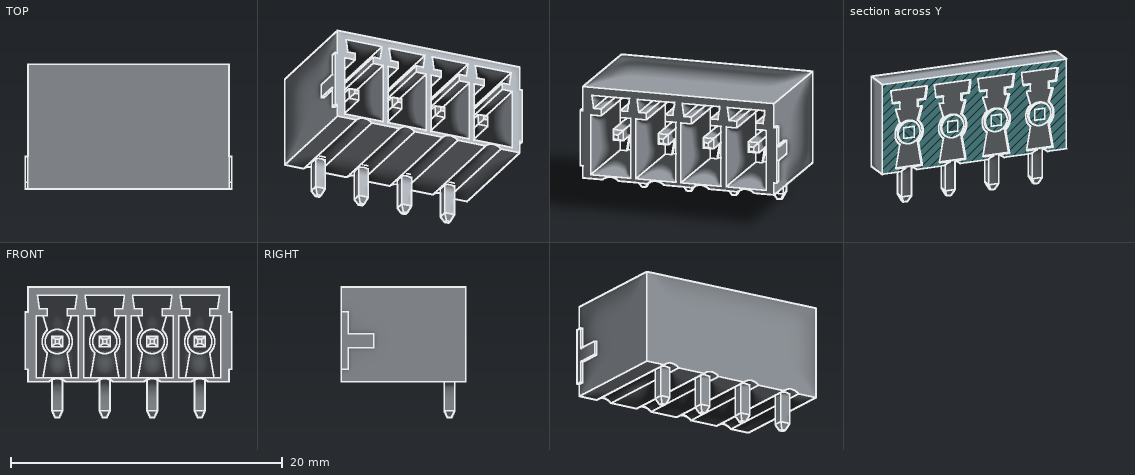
import cadquery as cq
import math

OVERALL_WIDTH = 15.2
EAR_THICKNESS = 0.2
HOUSING_WIDTH = OVERALL_WIDTH - 2 * EAR_THICKNESS
HOUSING_DEPTH = 9.2
HOUSING_HEIGHT = 6.99

EAR_MID_Z = 3.04
EAR_HEIGHT = 4.23
EAR_DEPTH = 0.52
EAR_TONGUE_HEIGHT = 1.03
EAR_TONGUE_DEPTH = 2.42

CONTACT_COUNT = 4
CONTACT_PITCH = 3.5
CONTACT_Z = 2.98
CONTACT_XS = [(i - (CONTACT_COUNT - 1) / 2) * CONTACT_PITCH for i in range(CONTACT_COUNT)]

POCKET_WIDTH = 3.1
POCKET_DEPTH = 6.99
POCKET_FLOOR_Z = 0.3
POCKET_TOP_Z = 4.88
NECK_WIDTH = 1.46
DOVETAIL_BOTTOM_Z = 5.4
DOVETAIL_TOP_Z = 6.38
DOVETAIL_BOTTOM_WIDTH = 2.63
DOVETAIL_TOP_WIDTH = 2.9

RECESS_DEPTH = 0.3
RECESS_END_WIDTH = 2.1
RECESS_ROUND_DIAMETER = 2.22
BOSS_DIAMETER = 1.8
KEYWAY_DEPTH = POCKET_DEPTH + RECESS_DEPTH

GROOVE_DIAMETER = 1.8
GROOVE_MOUTH_WIDTH = 1.25

PIN_SIZE = 0.79
PIN_TIP_SIZE = 0.32
PIN_TAPER_LENGTH = 0.5
PIN_FRONT_Y = 1.28
PIN_LEG_Y = HOUSING_DEPTH - 1.22
PIN_BOTTOM_Z = -2.61


def extrude_back(outline, start_y, depth):
    """Extrude a list of (x, z) points from start_y toward +Y."""
    return cq.Workplane("XZ", origin=(0, start_y, 0)).polyline(outline).close().extrude(-depth)


def cylinder_back(x, z, diameter, start_y, depth):
    """Cylinder along Y, from start_y toward +Y."""
    return cq.Workplane("XZ", origin=(x, start_y, z)).circle(diameter / 2).extrude(-depth)


def trapezoid(x, bottom_z, bottom_width, top_z, top_width):
    """Corner points (x, z) of a trapezoid that is symmetric about x."""
    return [
        (x - bottom_width / 2, bottom_z),
        (x + bottom_width / 2, bottom_z),
        (x + top_width / 2, top_z),
        (x - top_width / 2, top_z),
    ]


def make_ear_bar(depth, height):
    """Bar across the full width whose two ends stand proud of the housing."""
    return cq.Workplane("XY").box(OVERALL_WIDTH, depth, height, centered=(True, False, True)).translate(
        (0, 0, EAR_MID_Z)
    )


def make_pocket(x):
    """Rectangular plug opening."""
    outline = trapezoid(x, POCKET_FLOOR_Z, POCKET_WIDTH, POCKET_TOP_Z, POCKET_WIDTH)
    return extrude_back(outline, 0, POCKET_DEPTH)


def make_keyway(x):
    """Dovetail slot joined to the pocket by a narrower neck."""
    neck = extrude_back(
        trapezoid(x, POCKET_TOP_Z, NECK_WIDTH, DOVETAIL_BOTTOM_Z, NECK_WIDTH), 0, KEYWAY_DEPTH
    )
    dovetail = extrude_back(
        trapezoid(x, DOVETAIL_BOTTOM_Z, DOVETAIL_BOTTOM_WIDTH, DOVETAIL_TOP_Z, DOVETAIL_TOP_WIDTH),
        0,
        KEYWAY_DEPTH,
    )
    return neck.union(dovetail)


def make_recess(x):
    """Hourglass recess in the pocket end wall, leaving a round boss around the pin."""
    waist_rise = math.sqrt((RECESS_ROUND_DIAMETER / 2) ** 2 - (NECK_WIDTH / 2) ** 2)
    lower = trapezoid(x, POCKET_FLOOR_Z, RECESS_END_WIDTH, CONTACT_Z - waist_rise, NECK_WIDTH)
    upper = trapezoid(x, CONTACT_Z + waist_rise, NECK_WIDTH, POCKET_TOP_Z, RECESS_END_WIDTH)
    waist = trapezoid(x, CONTACT_Z - waist_rise, NECK_WIDTH, CONTACT_Z + waist_rise, NECK_WIDTH)
    recess = cylinder_back(x, CONTACT_Z, RECESS_ROUND_DIAMETER, POCKET_DEPTH, RECESS_DEPTH)
    for outline in (lower, waist, upper):
        recess = recess.union(extrude_back(outline, POCKET_DEPTH, RECESS_DEPTH))
    return recess.cut(cylinder_back(x, CONTACT_Z, BOSS_DIAMETER, POCKET_DEPTH, RECESS_DEPTH))


def make_groove(x):
    """Cylinder that cuts the underside to the width of the groove mouth."""
    axis_drop = math.sqrt((GROOVE_DIAMETER / 2) ** 2 - (GROOVE_MOUTH_WIDTH / 2) ** 2)
    return cylinder_back(x, -axis_drop, GROOVE_DIAMETER, 0, HOUSING_DEPTH)


def make_pin_point(plane, origin):
    """Square pyramid stub, growing from the small tip at origin along the plane normal."""
    return (
        cq.Workplane(plane, origin=origin)
        .rect(PIN_TIP_SIZE, PIN_TIP_SIZE)
        .workplane(offset=PIN_TAPER_LENGTH)
        .rect(PIN_SIZE, PIN_SIZE)
        .loft(ruled=True)
    )


def make_pin(x):
    """L-shaped pin: contact arm along Y and solder leg along Z, both with tapered ends."""
    arm_start_y = PIN_FRONT_Y + PIN_TAPER_LENGTH
    arm_end_y = PIN_LEG_Y + PIN_SIZE / 2
    leg_start_z = PIN_BOTTOM_Z + PIN_TAPER_LENGTH
    leg_end_z = CONTACT_Z + PIN_SIZE / 2
    arm = cq.Workplane("ZX", origin=(x, arm_start_y, CONTACT_Z)).rect(PIN_SIZE, PIN_SIZE)
    leg = cq.Workplane("XY", origin=(x, PIN_LEG_Y, leg_start_z)).rect(PIN_SIZE, PIN_SIZE)
    return (
        arm.extrude(arm_end_y - arm_start_y)
        .union(leg.extrude(leg_end_z - leg_start_z))
        .union(make_pin_point("ZX", (x, PIN_FRONT_Y, CONTACT_Z)))
        .union(make_pin_point("XY", (x, PIN_LEG_Y, PIN_BOTTOM_Z)))
    )


def make_housing(pins):
    """Housing with its pockets and grooves, and a fitting hole for every pin."""
    housing = cq.Workplane("XY").box(
        HOUSING_WIDTH, HOUSING_DEPTH, HOUSING_HEIGHT, centered=(True, False, False)
    )
    housing = housing.union(make_ear_bar(EAR_DEPTH, EAR_HEIGHT))
    housing = housing.union(make_ear_bar(EAR_TONGUE_DEPTH, EAR_TONGUE_HEIGHT))
    for x in CONTACT_XS:
        for make_cutter in (make_pocket, make_keyway, make_recess, make_groove):
            housing = housing.cut(make_cutter(x))
    for pin in pins:
        housing = housing.cut(pin)
    return housing


contact_pins = [make_pin(x) for x in CONTACT_XS]
connector_housing = make_housing(contact_pins)

result = cq.Compound.makeCompound(
    [connector_housing.solids().val(), *[pin.solids().val() for pin in contact_pins]]
)